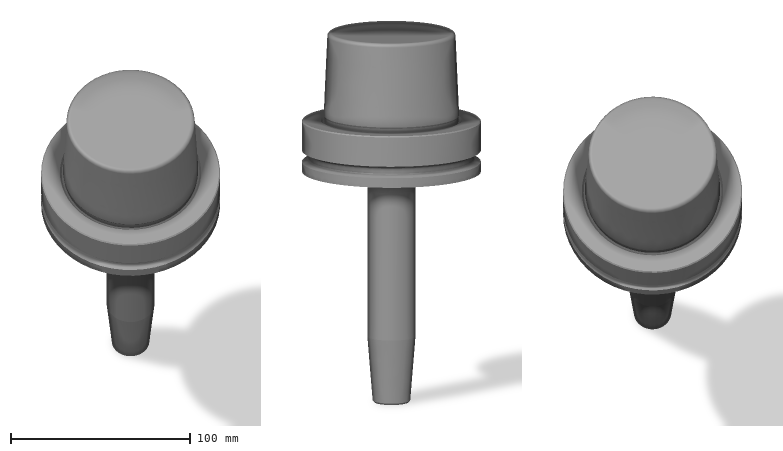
import cadquery as cq
import math


cone_height = 49.7
cone_top_radius = 35.7
cone_base_radius = 37.8
cone_top_fillet = 2.0

relief_outer_radius = 39.5
relief_floor_radius = 38.5
relief_depth = 1.0
relief_neck_radius = 37.4
relief_neck_height = 1.9
relief_taper_start = 2.7

flange_radius = 50.0
flange_thickness = 29.2
flange_edge_chamfer = 0.6
groove_floor_radius = 46.2
groove_top = -17.2
groove_floor_top = -18.7
groove_floor_bottom = -22.2
groove_bottom = -23.7
groove_floor_fillet = 0.6

overall_height = 210.0
shank_radius = 13.5
shank_root_fillet = 10.0
nose_radius = 10.5
nose_angle = 4.5
nose_edge_chamfer = 1.0

nose_end = cone_height - overall_height
nose_start = nose_end + (shank_radius - nose_radius) / math.tan(math.radians(nose_angle))


def make_cone():
    """Tapered plug with a rounded top edge and a necked base."""
    profile = (
        cq.Workplane("XZ")
        .moveTo(0, -relief_depth)
        .lineTo(relief_neck_radius, -relief_depth)
        .lineTo(relief_neck_radius, relief_neck_height)
        .lineTo(cone_base_radius, relief_taper_start)
        .lineTo(cone_top_radius, cone_height)
        .lineTo(0, cone_height)
        .close()
    )
    cone = profile.revolve(360, (0, 0, 0), (0, 1, 0))
    return cone.faces(">Z").edges().fillet(cone_top_fillet)


def make_flange():
    """Disc with a V-sided gripper groove and a relief ring in its face."""
    profile = (
        cq.Workplane("XZ")
        .moveTo(0, -relief_depth)
        .lineTo(relief_floor_radius, -relief_depth)
        .lineTo(relief_outer_radius, 0)
        .lineTo(flange_radius - flange_edge_chamfer, 0)
        .lineTo(flange_radius, -flange_edge_chamfer)
        .lineTo(flange_radius, groove_top)
        .lineTo(groove_floor_radius, groove_floor_top)
        .lineTo(groove_floor_radius, groove_floor_bottom)
        .lineTo(flange_radius, groove_bottom)
        .lineTo(flange_radius, -flange_thickness)
        .lineTo(0, -flange_thickness)
        .close()
    )
    flange = profile.revolve(360, (0, 0, 0), (0, 1, 0))
    floor_edges = flange.edges(cq.selectors.BoxSelector(
        (-flange_radius, -flange_radius, groove_floor_bottom - groove_floor_fillet),
        (flange_radius, flange_radius, groove_floor_top + groove_floor_fillet),
    )).edges("%CIRCLE")
    return floor_edges.fillet(groove_floor_fillet)


def make_shank():
    """Straight shank with a rounded root and a tapered nose."""
    root_bottom = -flange_thickness - shank_root_fillet
    profile = (
        cq.Workplane("XZ")
        .moveTo(0, -flange_thickness)
        .lineTo(shank_radius + shank_root_fillet, -flange_thickness)
        .radiusArc((shank_radius, root_bottom), -shank_root_fillet)
        .lineTo(shank_radius, nose_start)
        .lineTo(nose_radius, nose_end + nose_edge_chamfer)
        .lineTo(nose_radius - nose_edge_chamfer, nose_end)
        .lineTo(0, nose_end)
        .close()
    )
    return profile.revolve(360, (0, 0, 0), (0, 1, 0))


result = make_flange().union(make_cone()).union(make_shank())